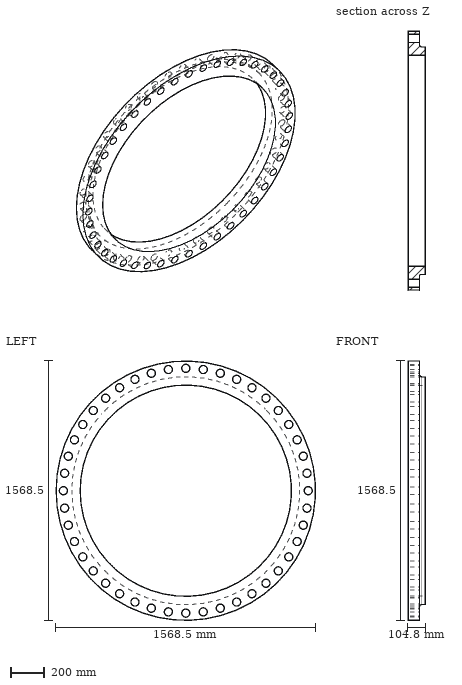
import cadquery as cq

flange_diameter = 1568.45
flange_thickness = 69.85
overall_length = 104.78
hub_diameter = 1377.95
bore_diameter = 1275.0
root_fillet_radius = 12.7

bolt_circle_diameter = 1479.55
bolt_hole_diameter = 47.6
bolt_hole_count = 44


def ring_body():
    """Flange plate with a raised hub, filleted where the hub meets the plate."""
    flange_radius = flange_diameter / 2
    hub_radius = hub_diameter / 2
    bore_radius = bore_diameter / 2
    fillet_start_radius = hub_radius + root_fillet_radius
    fillet_end_x = flange_thickness + root_fillet_radius
    profile = (
        cq.Workplane("XY")
        .moveTo(0, bore_radius)
        .lineTo(0, flange_radius)
        .lineTo(flange_thickness, flange_radius)
        .lineTo(flange_thickness, fillet_start_radius)
        .radiusArc((fillet_end_x, hub_radius), -root_fillet_radius)
        .lineTo(overall_length, hub_radius)
        .lineTo(overall_length, bore_radius)
        .close()
    )
    return profile.revolve(360, (0, 0, 0), (1, 0, 0))


def bolt_holes():
    """Through holes evenly spaced on the bolt circle, one of them on the Y axis."""
    return (
        cq.Workplane("YZ")
        .polarArray(bolt_circle_diameter / 2, 0, 360, bolt_hole_count)
        .circle(bolt_hole_diameter / 2)
        .extrude(flange_thickness)
    )


result = ring_body().cut(bolt_holes())